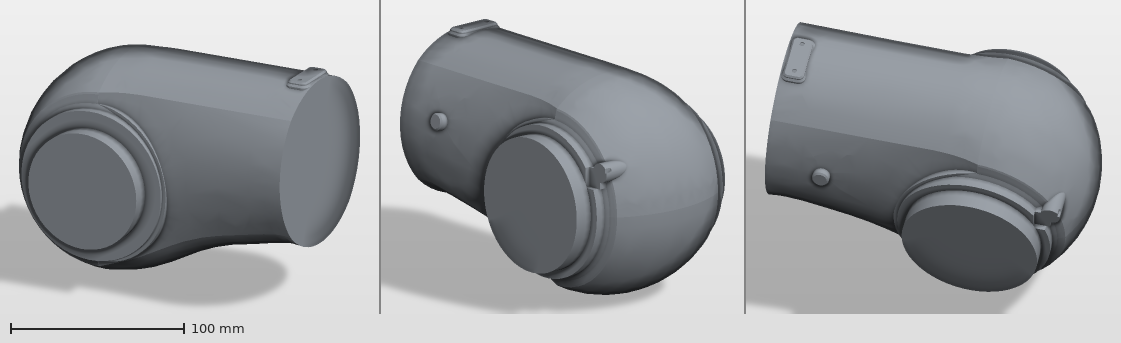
import cadquery as cq
import math


overall_length = 186.0
overall_width = 119.2
dome_radius = 62.7
mouth_x = overall_length - dome_radius

mouth_radius = 50.0
mouth_y = 0.4
mouth_z = 19.9
mouth_top = mouth_z + mouth_radius
mouth_bottom = mouth_z - mouth_radius
mouth_seam = 35.9

seam_radius = 52.0
seam_half_width = 39.0
seam_depth = dome_radius - seam_radius
lip_step = 1.1
lip_half_width = 39.6
shoulder_radius = 47.8
shoulder_half_width = 40.9
core_radius = 18.5
dome_steps = 5

upper_axis_x = 6.0
upper_radius = dome_radius + upper_axis_x
upper_seam_axis_x = 2.2
crest_x = 26.0

flange_radius = 45.4
flange_half_width = 48.7
foot_half_width = 42.8
collar_half_width = 47.5
front_cap_radius = 35.1
rear_cap_radius = 40.2

hub_side_half_width = 44.6
section_places = [0, 0.1, 0.21, 0.38, 0.6, 0.8, 1]

belly_radius = (mouth_x**2 + mouth_bottom**2 - dome_radius**2) / (2 * (dome_radius + mouth_bottom))
belly_center_z = mouth_bottom - belly_radius
belly_start_x = mouth_x * dome_radius / (dome_radius + belly_radius)

plate_x = 115.3
plate_top = 71.5
plate_length = 14.3
plate_width = 31.2
plate_corner = 4.0
plate_base_top = 69.9
plate_depth = 5.5
plate_step = 1.1
pad_chamfer = 1.0
screw_offset = 9.9
screw_diameter = 2.8
screw_depth = 0.5

button_x = 90.2
button_radius = 5.0
button_tilt = 10.0
button_face = 53.0
button_chamfer = 1.0
button_depth = 7.5

lug_x = -44.5
lug_z = 26.2
lug_radius = 5.8
lug_start = 22.3
lug_end = 45.5
web_length = 9.3
web_height = 11.7
web_center_z = 22.3
pocket_depth = 10.0
notch_width = 2.6
notch_length = 4.3
notch_depth = 1.3
notch_z = 28.6


def y_cylinder(radius, start, end, x=0, z=0):
    """Cylinder along Y between two Y positions."""
    return (
        cq.Workplane("XZ", origin=(x, start, z))
        .circle(radius)
        .extrude(start - end)
    )


def dome_section(plane, outer_radius, seam):
    """Closed section of the dome in a half plane through the hub axis."""
    lip = seam - lip_step
    return (
        cq.Workplane(plane)
        .moveTo(core_radius, -shoulder_half_width)
        .lineTo(shoulder_radius, -shoulder_half_width)
        .lineTo(lip, -lip_half_width)
        .lineTo(seam, -seam_half_width)
        .threePointArc((outer_radius, 0), (seam, seam_half_width))
        .lineTo(lip, lip_half_width)
        .lineTo(shoulder_radius, shoulder_half_width)
        .lineTo(core_radius, shoulder_half_width)
        .close()
    )


def hub_half_plane(angle):
    """Plane whose local X points from the hub axis at an angle above -X, and local Y along +Y."""
    outward = (-math.cos(angle), 0, math.sin(angle))
    normal = (-math.sin(angle), 0, -math.cos(angle))
    return cq.Plane(origin=(0, 0, 0), xDir=outward, normal=normal)


def reach(angle, axis_x, radius):
    """Distance from the hub axis to a circle whose centre lies axis_x further forward."""
    return -axis_x * math.cos(angle) + math.sqrt(radius**2 - (axis_x * math.sin(angle)) ** 2)


def upper_dome():
    sections = []
    for step in range(dome_steps + 1):
        angle = math.pi / 2 * step / dome_steps
        outer_radius = reach(angle, upper_axis_x, upper_radius)
        seam = reach(angle, upper_seam_axis_x, seam_radius + upper_seam_axis_x)
        sections.append(dome_section(hub_half_plane(angle), outer_radius, seam).val())
    return cq.Workplane(cq.Solid.makeLoft(sections))


def lower_dome():
    section = dome_section(hub_half_plane(0), dome_radius, seam_radius)
    return section.revolve(90, (0, 0), (0, -1))


def settle(start, end, x):
    """Ease from a value at the hub to one that stays constant beyond the crest."""
    return end + (start - end) * max(0, 1 - x / crest_x) ** 2


def top_height(x):
    return settle(reach(math.pi / 2, upper_axis_x, upper_radius), mouth_top, x)


def bottom_height(x):
    if x < belly_start_x:
        return -math.sqrt(dome_radius**2 - x**2)
    return belly_center_z + math.sqrt(belly_radius**2 - (mouth_x - x) ** 2)


def sleeve_section(fraction):
    """Closed outline of four arcs that grows nearly round toward the mouth."""
    x = fraction * mouth_x
    top = top_height(x)
    bottom = bottom_height(x)
    upper_seam = reach(math.pi / 2, upper_seam_axis_x, seam_radius + upper_seam_axis_x)
    seam_y = settle(seam_half_width, mouth_seam, x)
    side_y = hub_side_half_width + fraction * (mouth_radius - hub_side_half_width)
    upper = settle(upper_seam, mouth_z + mouth_seam, x)
    lower = bottom + settle(seam_depth, mouth_radius - mouth_seam, x)
    middle = (upper + lower) / 2
    return (
        cq.Workplane("YZ", origin=(x, fraction * mouth_y, 0))
        .moveTo(-seam_y, upper)
        .threePointArc((0, top), (seam_y, upper))
        .threePointArc((side_y, middle), (seam_y, lower))
        .threePointArc((0, bottom), (-seam_y, lower))
        .threePointArc((-side_y, middle), (-seam_y, upper))
        .close()
        .val()
    )


def sleeve():
    sections = [sleeve_section(fraction) for fraction in section_places]
    return cq.Workplane(cq.Solid.makeLoft(sections))


def front_collar():
    """Low rim around the forward half of the front flange, rising with the sleeve wall."""
    wedge = (
        cq.Workplane("XY", origin=(0, 0, -shoulder_radius))
        .polyline([
            (0, 0),
            (0, -shoulder_half_width),
            (shoulder_radius, -collar_half_width),
            (shoulder_radius, 0),
        ])
        .close()
        .extrude(2 * shoulder_radius)
    )
    return wedge.intersect(y_cylinder(shoulder_radius, -flange_half_width, 0))


def hub():
    """Flanges with sloped feet, and a cap of its own size on each end."""
    cap_end = overall_width / 2
    foot_profile = (
        cq.Workplane("XY")
        .moveTo(0, -shoulder_half_width)
        .lineTo(shoulder_radius, -shoulder_half_width)
        .lineTo(flange_radius, -foot_half_width)
        .lineTo(flange_radius, -flange_half_width)
        .lineTo(0, -flange_half_width)
        .close()
    )
    front_flange = foot_profile.revolve(360, (0, 0), (0, 1)).union(front_collar())
    rear_flange = front_flange.mirror("XZ")
    front_cap = y_cylinder(front_cap_radius, -cap_end, 0)
    rear_cap = y_cylinder(rear_cap_radius, 0, cap_end)
    return front_flange.union(rear_flange).union(front_cap).union(rear_cap)


def cover_plate():
    """Stepped pad with two shallow screw recesses."""
    base = (
        cq.Workplane("XY", origin=(plate_x, mouth_y, plate_base_top - plate_depth))
        .rect(plate_length, plate_width)
        .extrude(plate_depth)
        .edges("|Z")
        .fillet(plate_corner)
        .faces(">Z")
        .chamfer(plate_step)
    )
    pad = (
        cq.Workplane("XY", origin=(plate_x, mouth_y, plate_base_top - plate_step))
        .rect(plate_length - 2 * plate_step, plate_width - 2 * plate_step)
        .extrude(plate_top - plate_base_top + plate_step)
        .edges("|Z")
        .fillet(plate_corner - plate_step)
        .faces(">Z")
        .chamfer(pad_chamfer)
    )
    screws = (
        cq.Workplane("XY", origin=(plate_x, mouth_y, plate_top - screw_depth))
        .pushPoints([(0, -screw_offset), (0, screw_offset)])
        .circle(screw_diameter / 2)
        .extrude(screw_depth)
    )
    return base.union(pad).cut(screws)


def button():
    """Chamfered push button that points outward from the sleeve axis."""
    body = y_cylinder(button_radius, button_face - button_depth, button_face)
    body = body.faces(">Y").chamfer(button_chamfer)
    tilted = body.rotate((0, 0, 0), (1, 0, 0), button_tilt)
    return tilted.translate((button_x, mouth_y, mouth_z))


def stop_lug():
    """Round lug along Y, joined to the flange by a web, with a round-ended notch in its rear face."""
    post = y_cylinder(lug_radius, lug_start, lug_end, lug_x, lug_z)
    web = cq.Workplane("XY").box(web_length, lug_end - lug_start, web_height)
    web = web.translate((lug_x + web_length / 2, (lug_start + lug_end) / 2, web_center_z))
    notch = (
        cq.Workplane("YZ", origin=(lug_x - lug_radius - notch_depth, lug_end, notch_z))
        .slot2D(2 * notch_length, notch_width)
        .extrude(2 * notch_depth)
    )
    return post.union(web).cut(notch)


def flange_pocket():
    """Cut that lowers the flange to the level of the lug, as tall as the web."""
    return (
        cq.Workplane("XY")
        .box(2 * pocket_depth, flange_half_width - lug_end, web_height)
        .translate((-flange_radius, (flange_half_width + lug_end) / 2, web_center_z))
    )


housing = upper_dome().union(lower_dome()).union(sleeve()).union(hub())
result = housing.cut(flange_pocket())
for feature in (cover_plate(), button(), stop_lug()):
    result = result.union(feature)